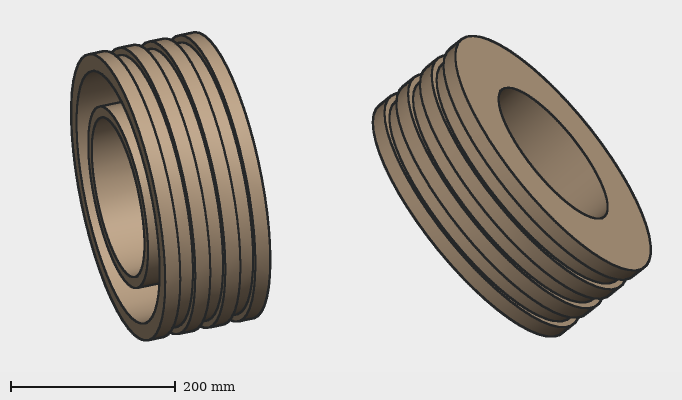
import cadquery as cq

outer_diameter = 355.0
width = 135.0

rim_inner_diameter = 313.0
groove_diameter = 337.2
groove_count = 3
band_width = width / (2 * groove_count + 1)

hub_diameter = 225.0
bore_diameter = 198.0
web_thickness = 10.0
web_start = width - web_thickness


def ring(outside, inside, start, length):
    """Ring about the Y axis, running from start toward +Y."""
    plane = cq.Workplane("XZ", origin=(0, start, 0))
    return plane.circle(outside / 2).circle(inside / 2).extrude(-length)


def grooved_rim():
    rim = ring(outer_diameter, rim_inner_diameter, 0, width)
    for index in range(groove_count):
        groove_start = (2 * index + 1) * band_width
        rim = rim.cut(ring(outer_diameter, groove_diameter, groove_start, band_width))
    return rim


hub = ring(hub_diameter, bore_diameter, 0, width)
web = ring(rim_inner_diameter, hub_diameter, web_start, web_thickness)

result = grooved_rim().union(web).union(hub)